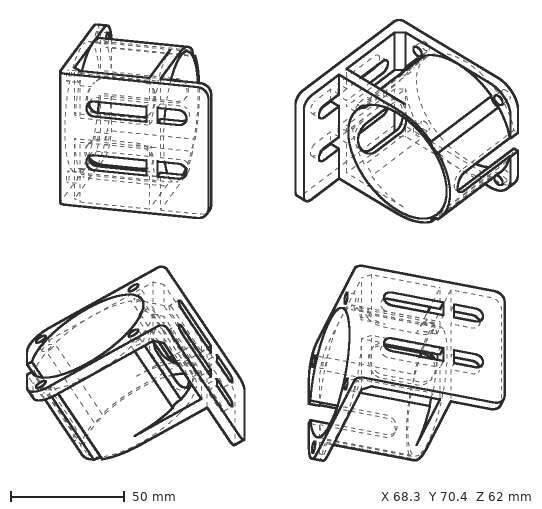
import cadquery as cq

HEIGHT = 62.0
BASE_LENGTH = 68.3
PLATE = 5.0
BODY_LENGTH = 45.0
AXIS_HEIGHT = 39.42
AXIS_Z = HEIGHT / 2
TUBE_RADIUS = HEIGHT / 2
BORE_RADIUS = 29.0
FLANGE_DEPTH = AXIS_HEIGHT + TUBE_RADIUS
WEB_X = BODY_LENGTH - PLATE

FLANGE_CORNER = 12.0
BASE_CORNER = 5.0
HEEL_RADIUS = 3.0
GUSSET = 3.4

SCREW_SPACING = 47.7
SCREW_DIAMETER = 5.0
GROOVE_DIAMETER = 8.2

SLIT_WIDTH = 10.8
SLIT_END = WEB_X

SLOT_WIDTH = 7.1
SLOT_START = 12.67
SLOT_END = 58.3
SLOT_SPACING = 25.4
SLOT_MID_Z = 34.0
ACCESS_WIDTH = 14.0
ACCESS_START = SLOT_START + SLOT_WIDTH / 2 - ACCESS_WIDTH / 2
ACCESS_END = WEB_X

SPINE_TOP = AXIS_HEIGHT - BORE_RADIUS


def block(x0, x1, y0, y1):
    """Full-height box between two X and two Y positions."""
    return cq.Workplane("XY").box(x1 - x0, y1 - y0, HEIGHT, centered=False).translate((x0, y0, 0))


def rods(diameter, x0, x1, points=((0, 0),)):
    """Cylinders along X, at (Y, Z) points measured from the bore axis."""
    plane = cq.Workplane("YZ", origin=(x0, AXIS_HEIGHT, AXIS_Z))
    return plane.pushPoints(points).circle(diameter / 2).extrude(x1 - x0)


def slot_cutter(x0, x1, width, z, y0, y1):
    """Round-ended slot along X, cut from y0 to y1 in the Y direction."""
    plane = cq.Workplane("XZ", origin=((x0 + x1) / 2, y0, z))
    return plane.slot2D(x1 - x0, width).extrude(y0 - y1)


def make_tube(screws):
    tube = rods(2 * TUBE_RADIUS, 0, BODY_LENGTH)
    return tube.cut(rods(GROOVE_DIAMETER, 0, BODY_LENGTH, screws))


def make_flange(screws):
    flange = block(0, PLATE, 0, FLANGE_DEPTH)
    flange = flange.edges("|X and >Y").fillet(FLANGE_CORNER)
    return flange.cut(rods(SCREW_DIAMETER, 0, PLATE, screws))


def make_base(slot_heights):
    base = block(0, BASE_LENGTH, 0, PLATE)
    base = base.edges("|Y and >X").fillet(BASE_CORNER)
    for z in slot_heights:
        base = base.cut(slot_cutter(SLOT_START, SLOT_END, SLOT_WIDTH, z, 0, PLATE))
    return base


def make_gusset():
    corner = cq.Workplane("XY", origin=(PLATE, PLATE, 0))
    return corner.polyline([(0, 0), (GUSSET, 0), (0, GUSSET)]).close().extrude(HEIGHT)


def make_spine(z0, z1):
    """Rib joining the tube to the base between the two access openings."""
    spine = cq.Workplane("XY").box(WEB_X - PLATE, SPINE_TOP, z1 - z0, centered=False)
    return spine.translate((PLATE, 0, z0))


screw_points = [
    (y * SCREW_SPACING / 2, z * SCREW_SPACING / 2)
    for y in (-1, 1)
    for z in (-1, 1)
]
slot_levels = [SLOT_MID_Z + side * SLOT_SPACING / 2 for side in (-1, 1)]

tube_body = make_tube(screw_points)
for level in slot_levels:
    tube_body = tube_body.cut(
        slot_cutter(ACCESS_START, ACCESS_END, ACCESS_WIDTH, level, 0, AXIS_HEIGHT)
    )

spine_bar = make_spine(slot_levels[0] + ACCESS_WIDTH / 2, slot_levels[1] - ACCESS_WIDTH / 2)

web = block(WEB_X, BODY_LENGTH, 0, AXIS_HEIGHT)

bracket = make_base(slot_levels).union(make_flange(screw_points))
bracket = bracket.union(make_gusset()).union(tube_body).union(spine_bar).union(web)

bracket = bracket.edges("|Z and <X and <Y").fillet(HEEL_RADIUS)

bracket = bracket.cut(rods(2 * BORE_RADIUS, 0, BODY_LENGTH))
bracket = bracket.cut(
    slot_cutter(-SLIT_WIDTH, SLIT_END, SLIT_WIDTH, AXIS_Z, AXIS_HEIGHT, FLANGE_DEPTH)
)

result = bracket